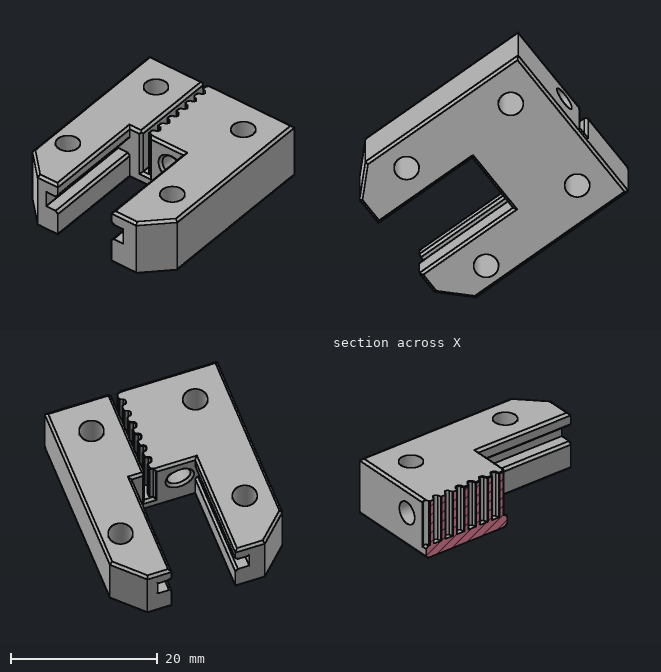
import cadquery as cq

width = 25.0
length = 30.0
height = 9.0
corner_cut = 4.0
edge_chamfer = 0.4

notch_left = 7.5
notch_right = 16.7
notch_depth = 16.0

rail_depth = 2.0
rail_width = 2.5
rail_bottom = 4.35

hole_diameter = 3.4
rear_hole_inset = 4.98
front_hole_y = 8.0
front_left_hole_x = 3.0
front_right_hole_inset = 4.0

bolt_x = 14.5
bolt_z = 5.3
bolt_sink_diameter = hole_diameter + 2 * edge_chamfer

slot_left = 9.5
slot_right = 10.25
slot_floor = 1.98
pitch_count = 7
pitch = (length - notch_depth) / pitch_count
plain_gaps = 3
lead_in = 0.1

gap_depth = 0.78
slot_root = slot_right + gap_depth
mouth_half_width = 0.65
lip_half_width = 0.57
lip_depth = 0.1
root_half_width = 0.4
root_depth = 0.55
lip_radius = 0.1
flank_radius = 1.0


def box(x_range, y_range, z_range):
    """Box between the given limits."""
    (x0, x1), (y0, y1), (z0, z1) = x_range, y_range, z_range
    return cq.Workplane("XY").box(x1 - x0, y1 - y0, z1 - z0, centered=False).translate((x0, y0, z0))


def chamfered_block():
    """U-shaped block with every top and bottom edge chamfered."""
    outline = [
        (corner_cut, 0),
        (notch_left, 0),
        (notch_left, notch_depth),
        (notch_right, notch_depth),
        (notch_right, 0),
        (width - corner_cut, 0),
        (width, corner_cut),
        (width, length),
        (0, length),
        (0, corner_cut),
    ]
    block = cq.Workplane("XY").polyline(outline).close().extrude(height)
    return block.faces("<Z or >Z").chamfer(edge_chamfer)


def rail_grooves():
    """Both rail grooves, with chamfered mouths, as one cross-shaped bar."""
    rail_top = rail_bottom + rail_width
    bar = box(
        (notch_left - rail_depth, notch_right + rail_depth), (0, notch_depth), (rail_bottom, rail_top)
    )
    mouth_outline = [
        (notch_left - edge_chamfer, rail_bottom),
        (notch_left, rail_bottom - edge_chamfer),
        (notch_right, rail_bottom - edge_chamfer),
        (notch_right + edge_chamfer, rail_bottom),
        (notch_right + edge_chamfer, rail_top),
        (notch_right, rail_top + edge_chamfer),
        (notch_left, rail_top + edge_chamfer),
        (notch_left - edge_chamfer, rail_top),
    ]
    mouth = cq.Workplane("XZ").polyline(mouth_outline).close().extrude(-notch_depth)
    return bar.union(mouth)


def vertical_holes():
    """Four through holes, two at the back and one in each leg."""
    centers = [
        (rear_hole_inset, length - rear_hole_inset),
        (width - rear_hole_inset, length - rear_hole_inset),
        (front_left_hole_x, front_hole_y),
        (width - front_right_hole_inset, front_hole_y),
    ]
    return cq.Workplane("XY").pushPoints(centers).circle(hole_diameter / 2).extrude(height)


def bolt_hole():
    """Through hole along Y, countersunk where it meets the notch."""
    entry = cq.Workplane("XZ", origin=(bolt_x, notch_depth, bolt_z))
    hole = entry.circle(hole_diameter / 2).extrude(notch_depth - length)
    sink = (
        entry.circle(bolt_sink_diameter / 2)
        .workplane(offset=-edge_chamfer)
        .circle(hole_diameter / 2)
        .loft()
    )
    return hole.union(sink)


def slot_prism(left, bottom, depth, gap_count, taper=0):
    """Slot with the given number of tooth gaps, counted from the notch end, extruded upwards."""
    first_y = notch_depth - mouth_half_width
    last_y = notch_depth + (gap_count - 1) * pitch + mouth_half_width
    outline = cq.Workplane("XY", origin=(0, 0, bottom)).moveTo(left, first_y)
    for index in range(gap_count):
        y = notch_depth + index * pitch
        outline = (
            outline.lineTo(slot_right, y - mouth_half_width)
            .radiusArc((slot_right + lip_depth, y - lip_half_width), -lip_radius)
            .radiusArc((slot_right + root_depth, y - root_half_width), flank_radius)
            .threePointArc((slot_root, y), (slot_right + root_depth, y + root_half_width))
            .radiusArc((slot_right + lip_depth, y + lip_half_width), flank_radius)
            .radiusArc((slot_right, y + mouth_half_width), -lip_radius)
        )
    return outline.lineTo(left, last_y).close().extrude(depth, taper=taper)


def slot_end_flare(end_y, inward):
    """Chamfer of the slot's left wall and floor at one end; inward is the Y direction into the slot."""

    def section(y, growth):
        left = slot_left - growth
        floor = slot_floor - growth
        corners = [(left, floor), (slot_root, floor), (slot_root, height), (left, height)]
        return cq.Wire.makePolygon([cq.Vector(x, y, z) for x, z in corners], close=True)

    outer = section(end_y, edge_chamfer)
    inner = section(end_y + inward * edge_chamfer, 0)
    return cq.Workplane(cq.Solid.makeLoft([outer, inner], True))


def tooth_end_chamfer(end_y, inward):
    """Small upright chamfer of the toothed wall at one end of the slot."""
    corner = [(slot_root, end_y), (slot_root + lead_in, end_y), (slot_root, end_y + inward * lead_in)]
    bottom = slot_floor - edge_chamfer
    return cq.Workplane("XY", origin=(0, 0, bottom)).polyline(corner).close().extrude(height - bottom)


def belt_slot():
    """Full slot with its tooth gaps and all its edge chamfers."""
    gap_count = pitch_count + 1
    slot = slot_prism(slot_left, slot_floor, height - slot_floor, gap_count)

    flare_floor = slot_floor - edge_chamfer
    flare_limit = slot_prism(slot_left - edge_chamfer, flare_floor, height - flare_floor, gap_count)
    flares = slot_end_flare(notch_depth, 1).union(slot_end_flare(length, -1))

    left_edge = [
        (slot_left - edge_chamfer, height),
        (slot_left, height - edge_chamfer),
        (slot_left, height),
    ]
    notch_wall = cq.Workplane("XZ", origin=(0, notch_depth, 0))
    left_chamfer = notch_wall.polyline(left_edge).close().extrude(notch_depth - length)

    teeth_chamfer = slot_prism(slot_left, height - lead_in, lead_in, gap_count - plain_gaps, taper=-45)
    end_chamfers = tooth_end_chamfer(notch_depth, 1).union(tooth_end_chamfer(length, -1))
    chamfers = left_chamfer.union(teeth_chamfer).union(end_chamfers)
    return slot.union(flares.intersect(flare_limit)).union(chamfers)


result = (
    chamfered_block()
    .cut(rail_grooves())
    .cut(vertical_holes())
    .cut(bolt_hole())
    .cut(belt_slot())
)